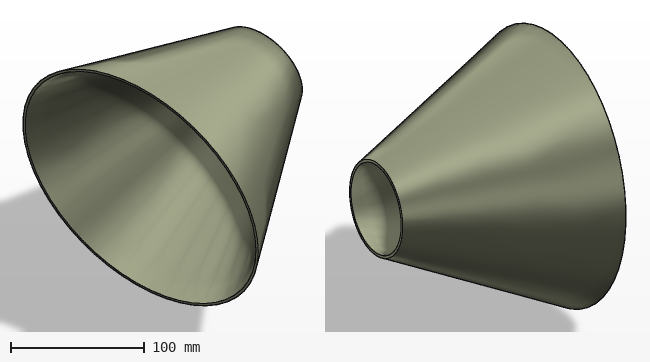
import cadquery as cq

wide_diameter = 219.0
narrow_diameter = 76.0
length = 152.0
radial_wall = 2.2

wide_radius = wide_diameter / 2
narrow_radius = narrow_diameter / 2

wall_section = (
    cq.Workplane("XY")
    .moveTo(wide_radius - radial_wall, 0)
    .lineTo(wide_radius, 0)
    .lineTo(narrow_radius, length)
    .lineTo(narrow_radius - radial_wall, length)
    .close()
)

result = wall_section.revolve(360, (0, 0, 0), (0, 1, 0))